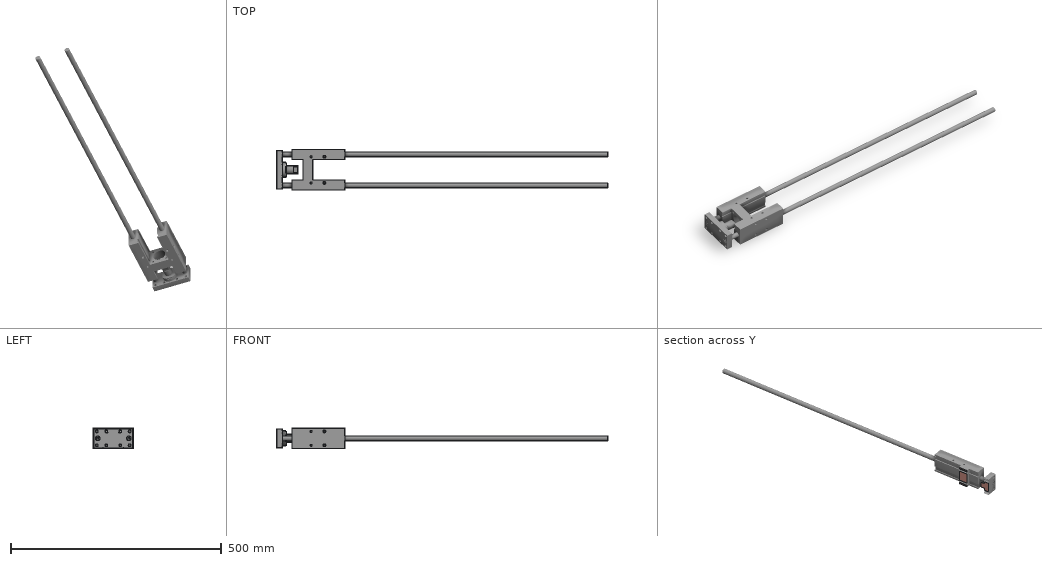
import cadquery as cq
import math

total_length = 787.0

plate_thickness = 13.0
plate_width = 92.0
plate_height = 45.0
plate_corner_radius = 1.0

body_start = 36.0
body_length = 126.0
body_width = 97.0
body_height = 49.0
arm_width = 24.5
web_start = 62.0
web_length = 24.0
web_bore_diameter = 30.0
body_end = body_start + body_length
web_end = web_start + web_length
arm_gap = body_width - 2 * arm_width

groove_lip = 4.0
groove_width = 10.0
groove_depth = 2.0

rod_diameter = 12.0
rod_spacing = 74.0
rod_chamfer = 1.0

flange_diameter = 36.0
flange_thickness = 10.0
flange_across_flats = 33.0
flange_flat_length = 3.0
stem_diameter = 20.0
stem_length = 37.0
stem_across_flats = 15.0
stem_flat_length = 11.0

counterbore_diameter = 11.0
screw_head_diameter = 10.0
screw_head_height = 6.0
socket_across_flats = 4.0
socket_depth = 3.0

clearance_diameter = 6.6
tap_diameter = 4.9
hole_depth = 12.0
hole_pitch = 33.0
plate_outer_spacing = 78.0
top_hole_spacing = 62.0
dowel_x = 82.0
tapped_x = 113.0


def bar(start, length, width, height):
    """Rectangular bar centred on the X axis."""
    return cq.Workplane("YZ", origin=(start, 0, 0)).rect(width, height).extrude(length)


def disc(diameter, start, length):
    """Cylinder on the X axis."""
    return cq.Workplane("YZ", origin=(start, 0, 0)).circle(diameter / 2).extrude(length)


def hole_grid(diameter, start, length, y_spacing):
    """Four cylinders along X at the corners of a rectangle."""
    grid = cq.Workplane("YZ", origin=(start, 0, 0)).rarray(y_spacing, hole_pitch, 2, 2)
    return grid.circle(diameter / 2).extrude(length)


def make_plate():
    plate = bar(0, plate_thickness, plate_width, plate_height)
    plate = plate.edges("|X").fillet(plate_corner_radius)
    for y_spacing in (hole_pitch, plate_outer_spacing):
        plate = plate.cut(hole_grid(clearance_diameter, 0, plate_thickness, y_spacing))
    return plate


def make_body():
    body = bar(body_start, body_length, body_width, body_height)
    groove_z = body_height / 2 - groove_lip - groove_width / 2
    for start, end in ((body_start, web_start), (web_end, body_end)):
        body = body.cut(bar(start, end - start, arm_gap, body_height))
        groove = bar(start, end - start, arm_gap + 2 * groove_depth, groove_width)
        for side in (-1, 1):
            body = body.cut(groove.translate((0, 0, side * groove_z)))
    body = body.cut(disc(web_bore_diameter, web_start, web_length))
    return body.cut(hole_grid(tap_diameter, web_start, web_length, hole_pitch))


def make_coupling():
    flange_end = plate_thickness + flange_thickness
    flange = disc(flange_diameter, plate_thickness, flange_thickness - flange_flat_length)
    squared = disc(flange_diameter, flange_end - flange_flat_length, flange_flat_length)
    squared = squared.intersect(bar(0, flange_end, flange_across_flats, flange_across_flats))

    stem_end = plate_thickness + stem_length
    stem = disc(stem_diameter, plate_thickness, stem_length - stem_flat_length)
    tip = disc(stem_diameter, stem_end - stem_flat_length, stem_flat_length)
    tip = tip.intersect(bar(0, stem_end, stem_diameter, stem_across_flats))
    return flange.union(squared).union(stem).union(tip)


def make_rods():
    rods = cq.Workplane("YZ").rarray(rod_spacing, 8, 2, 1).circle(rod_diameter / 2).extrude(total_length)
    return rods.faces(">X").chamfer(rod_chamfer)


def make_screw_recesses():
    """Gap around each flush screw head, and its hexagon socket."""
    face = cq.Workplane("YZ").rarray(rod_spacing, 8, 2, 1)
    gap = face.circle(counterbore_diameter / 2).circle(screw_head_diameter / 2).extrude(screw_head_height)
    socket_across_corners = socket_across_flats / math.cos(math.pi / 6)
    return gap.union(face.polygon(6, socket_across_corners).extrude(socket_depth))


def make_body_hole(x, countersunk):
    """Blind hole sunk straight down from Z = 0."""
    hole = cq.Workplane("XY", origin=(x, 0, 0)).circle(tap_diameter / 2).extrude(-hole_depth)
    if countersunk:
        sink_depth = (clearance_diameter - tap_diameter) / 2
        mouth = cq.Workplane("XY", origin=(x, 0, 0)).circle(clearance_diameter / 2)
        hole = hole.union(mouth.workplane(offset=-sink_depth).circle(tap_diameter / 2).loft())
    return hole


result = make_plate().union(make_coupling()).union(make_body()).union(make_rods())
result = result.cut(make_screw_recesses())

for hole_x, countersunk in ((dowel_x, False), (tapped_x, True)):
    hole = make_body_hole(hole_x, countersunk)
    for side in (-1, 1):
        top_hole = hole.translate((0, side * top_hole_spacing / 2, body_height / 2))
        side_hole = hole.translate((0, side * hole_pitch / 2, body_width / 2))
        for placed, angle in ((top_hole, 0), (top_hole, 180), (side_hole, 90), (side_hole, -90)):
            result = result.cut(placed.rotate((0, 0, 0), (1, 0, 0), angle))